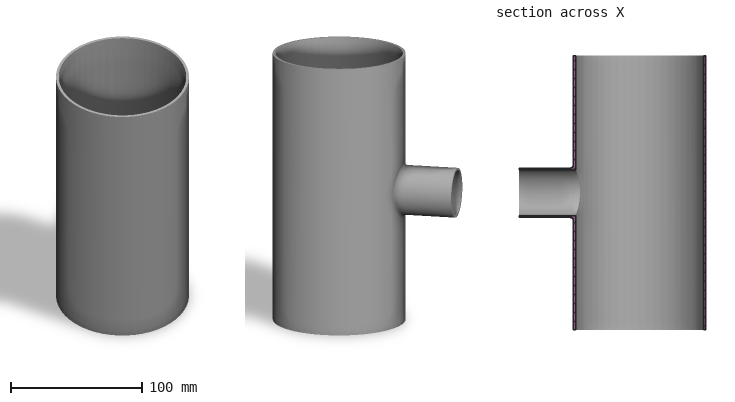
import cadquery as cq

main_diameter = 101.6
main_wall = 2.11
main_length = 209.6

branch_diameter = 38.1
branch_wall = 1.65
branch_reach = 92.1

weld_radius = 2.0


def main_cylinder(diameter):
    return cq.Workplane("XY").circle(diameter / 2).extrude(main_length / 2, both=True)


def branch_cylinder(diameter):
    return cq.Workplane("XZ").circle(diameter / 2).extrude(-branch_reach)


def outer_body():
    main = main_cylinder(main_diameter)
    branch = branch_cylinder(branch_diameter)
    body = main.union(branch)
    junction_box = cq.selectors.BoxSelector(
        (-branch_diameter, 0, -branch_diameter),
        (branch_diameter, main_diameter / 2, branch_diameter),
    )
    return body.edges(junction_box).fillet(weld_radius)


main_bore = main_cylinder(main_diameter - 2 * main_wall)
branch_bore = branch_cylinder(branch_diameter - 2 * branch_wall)

result = outer_body().cut(main_bore).cut(branch_bore)